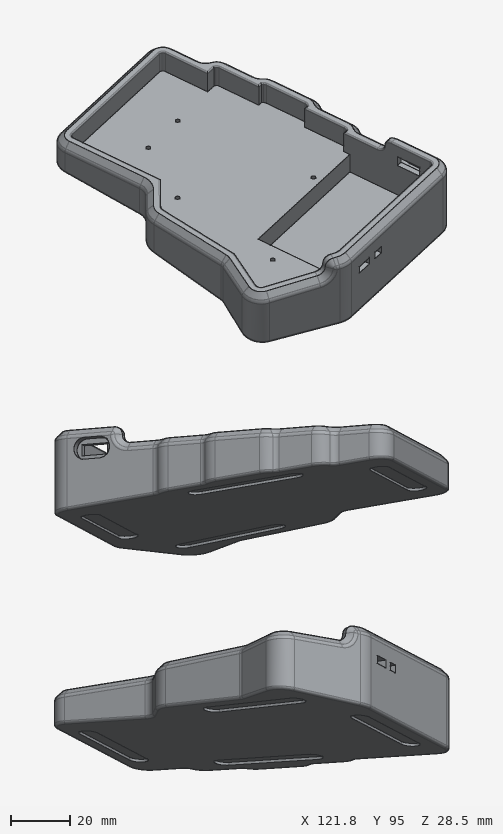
import cadquery as cq
import math

length = 121.8
body_height = 28.5
rim_height = 22.7
wall = 5.0
tilt = 5.0
base_drop = 0.1

back_y = 63.2
stagger = 2.3
step_walls = (19.1, 37.1, 66.3, 84.3)
step_levels = (0, 2, 3, 2, 1)
corner_radius = 6.5
hollow_radius = 3.0
inner_radius = corner_radius - wall
front_notch = (40.3, 0)
front_shoulder = (48.7, -11.6)
front_bend_x = 83.7
tip = (103.9, -27.5)
front_notch_radius = 5.1
front_shoulder_radius = 8.3
tip_radius = 7.1
side_radius = 10.0
side_angle = 60.0

swell_x = 96.2
swell_along_side = 28.9
swell_radius = (body_height - rim_height) / 2

rim_chamfer = 2.5
rim_round = 2.0
inner_rim_round = 0.5
base_round = 1.0

floor_z = 14.0
well_floor_z = 6.1
well_left = 81.8
well_front = 7.4
hole_diameter = 1.6
hole_depth = 4.0
hole_centers = ((24.5, 40.3), (24.5, 23.4), (47.4, 8.5), (78.7, 43.8), (92.0, 1.8))

plug_x = 106.3
plug_z = 21.3
plug_size = (9.3, 3.9)
plug_recess_size = (12.9, 7.5)
plug_recess_depth = 2.9
side_window_z = 18.5
side_window_height = 2.8
side_windows = ((21.5, 3.7), (13.6, 5.8))

grip_length = 41.4
grip_width = 6.8
grip_depth = 1.0
side_grips = ((8.3, 31.2), (112.3, 33.4))
back_grip = (53.0, 58.8)
front_grip = (84.0, -7.1)

side_slope = math.radians(side_angle)
side_corner = (length, tip[1] + (length - tip[0]) * math.tan(side_slope))
front_bend = (front_bend_x, tip[1] + (tip[0] - front_bend_x) / math.tan(side_slope))
front_turn = math.degrees(math.atan2(front_bend[1] - front_shoulder[1], front_bend[0] - front_shoulder[0]))
levels = [back_y + stagger * count for count in step_levels]
underside = cq.Plane(origin=(length, 0, -base_drop)).rotated((0, tilt, 0))
reach = 2 * length
tolerance = 0.001


def rounded_loop(corners):
    """Closed wire through (x, y, radius) corners, each replaced by a tangent arc."""
    arcs = []
    for i, (x, y, radius) in enumerate(corners):
        corner = cq.Vector(x, y)
        before = (cq.Vector(*corners[i - 1][:2]) - corner).normalized()
        after = (cq.Vector(*corners[(i + 1) % len(corners)][:2]) - corner).normalized()
        half = before.getAngle(after) / 2
        setback = radius / math.tan(half)
        bisector = (before + after).normalized()
        middle = corner + bisector * (radius / math.sin(half) - radius)
        arcs.append((corner + before * setback, middle, corner + after * setback))
    edges = []
    for i, (start, middle, end) in enumerate(arcs):
        previous_end = arcs[i - 1][2]
        if (start - previous_end).Length > tolerance:
            edges.append(cq.Edge.makeLine(previous_end, start))
        else:
            start = previous_end
        edges.append(cq.Edge.makeThreePointArc(start, middle, end))
    return cq.Wire.assembleEdges(edges)


def step_corners(x_wall, left_y, right_y):
    """Two outline corners, right one first, that blend a back step into an S of two arcs."""
    rise = abs(right_y - left_y)
    radii = corner_radius + hollow_radius
    turn = math.acos(1 - rise / radii)
    toward_high = math.copysign(1, right_y - left_y)
    shoulder_x = x_wall + toward_high * (corner_radius - corner_radius * math.tan(turn / 2))
    foot_x = shoulder_x - toward_high * rise / math.tan(turn)
    shoulder = (shoulder_x, max(left_y, right_y), corner_radius)
    foot = (foot_x, min(left_y, right_y), hollow_radius)
    return [shoulder, foot] if toward_high > 0 else [foot, shoulder]


def outer_wire():
    """Plan outline of the walls, counter-clockwise from the front-left corner."""
    corners = [
        (0, 0, corner_radius),
        (*front_notch, front_notch_radius),
        (*front_shoulder, front_shoulder_radius),
        (*front_bend, hollow_radius),
        (*tip, tip_radius),
        (*side_corner, side_radius),
        (length, levels[-1], corner_radius),
    ]
    for i in reversed(range(len(step_walls))):
        corners += step_corners(step_walls[i], levels[i], levels[i + 1])
    corners.append((0, back_y, corner_radius))
    return rounded_loop(corners)


def pocket_body(outline):
    """Tray cavity: the outline moved inward, keeping the corners that point into the tray sharp."""
    points = [(0, 0), front_notch, front_shoulder, front_bend, tip, side_corner, (length, levels[-1])]
    for i in reversed(range(len(step_walls))):
        points += [(step_walls[i], levels[i + 1]), (step_walls[i], levels[i])]
    points.append((0, back_y))
    rise = cq.Vector(0, 0, body_height)
    sharp = cq.Workplane("XY").polyline(points).close().offset2D(-wall, "intersection").extrude(body_height)
    rounded = cq.Solid.extrudeLinear(outline.offset2D(-wall)[0], [], rise)
    return sharp.intersect(cq.Workplane("XY").add(rounded)).translate((0, 0, floor_z))


def rim_cutter(plane):
    """Space above the low rim, ending at local x = 0 in a smooth S up to the top."""
    radius = swell_radius
    above = body_height + radius
    profile = (
        cq.Workplane(plane)
        .moveTo(-reach, rim_height)
        .lineTo(-radius, rim_height)
        .radiusArc((0, rim_height + radius), -radius)
        .radiusArc((radius, body_height), radius)
        .lineTo(radius, above)
        .lineTo(-reach, above)
        .close()
    )
    return profile.extrude(reach, both=True)


def rim_edges(body, wire):
    """Edges above the floor that run along the plan wire, leaving out the vertical ones."""
    found = []
    for edge in body.edges().vals():
        spots = [edge.positionAt(share) for share in (0, 0.5, 1)]
        flat = [cq.Vector(spot.x, spot.y, 0) for spot in spots]
        on_wire = all(cq.Vertex.makeVertex(*spot.toTuple()).distance(wire) < tolerance for spot in flat)
        if on_wire and edge.Center().z > floor_z + tolerance and (flat[0] - flat[1]).Length > tolerance:
            found.append(edge)
    return found


def grip(center, turn):
    """Slot-shaped cutter sunk into the underside below a plan position."""
    run = (center[0] - length) / math.cos(math.radians(tilt))
    slot = cq.Workplane(underside).center(run, center[1]).slot2D(grip_length, grip_width, turn)
    return slot.extrude(grip_depth)


def block(x_range, y_range, z_range):
    """Box between the given limits."""
    size = [high - low for low, high in (x_range, y_range, z_range)]
    return cq.Workplane("XY").box(*size, centered=False).translate((x_range[0], y_range[0], z_range[0]))


def span(middle, width):
    """Limits of a stretch of the given width."""
    return (middle - width / 2, middle + width / 2)


outline = outer_wire()
block_floor = cq.Vector(0, 0, -base_round)
block_rise = cq.Vector(0, 0, body_height + base_round)
body = cq.Workplane("XY").add(cq.Solid.extrudeLinear(outline.translate(block_floor), [], block_rise))
body = body.cut(cq.Workplane(underside).rect(2 * reach, 2 * reach).extrude(-reach))
body = body.faces("<Z").edges().fillet(base_round)

along_side = cq.Vector(math.cos(side_slope), math.sin(side_slope))
across_side = cq.Vector(math.sin(side_slope), -math.cos(side_slope))
swell_start = cq.Vector(*tip) + along_side * swell_along_side
body = body.cut(rim_cutter(cq.Plane(origin=(swell_x, 0, 0), xDir=(1, 0, 0), normal=(0, -1, 0))))
body = body.cut(rim_cutter(cq.Plane(origin=swell_start, xDir=along_side, normal=across_side)))

pocket = pocket_body(outline)
pocket_wire = pocket.faces("<Z").wires().val().translate(cq.Vector(0, 0, -floor_z))
body = body.cut(pocket)
body = body.newObject(rim_edges(body, outline)).chamfer(rim_chamfer)
body = body.newObject(rim_edges(body, outline)).fillet(rim_round)
body = body.newObject(rim_edges(body, pocket_wire)).fillet(inner_rim_round)

inner_right = length - wall
inner_back = levels[-1] - wall
well = block((well_left, inner_right), (well_front, inner_back), (well_floor_z, floor_z))
body = body.cut(well.edges(">X and >Y and |Z").fillet(inner_radius))

holes = cq.Workplane("XY", origin=(0, 0, floor_z)).pushPoints(hole_centers)
body = body.cut(holes.circle(hole_diameter / 2).extrude(-hole_depth))

plug_plane = cq.Plane(origin=(plug_x, levels[-1], plug_z), xDir=(1, 0, 0), normal=(0, -1, 0))
body = body.cut(cq.Workplane(plug_plane).rect(*plug_size).extrude(wall))
body = body.cut(cq.Workplane(plug_plane).slot2D(*plug_recess_size).extrude(plug_recess_depth))

for y, width in side_windows:
    window = block((inner_right, length), span(y, width), span(side_window_z, side_window_height))
    body = body.cut(window)

for center in side_grips:
    body = body.cut(grip(center, 90))
body = body.cut(grip(back_grip, 0))
body = body.cut(grip(front_grip, front_turn))

result = body